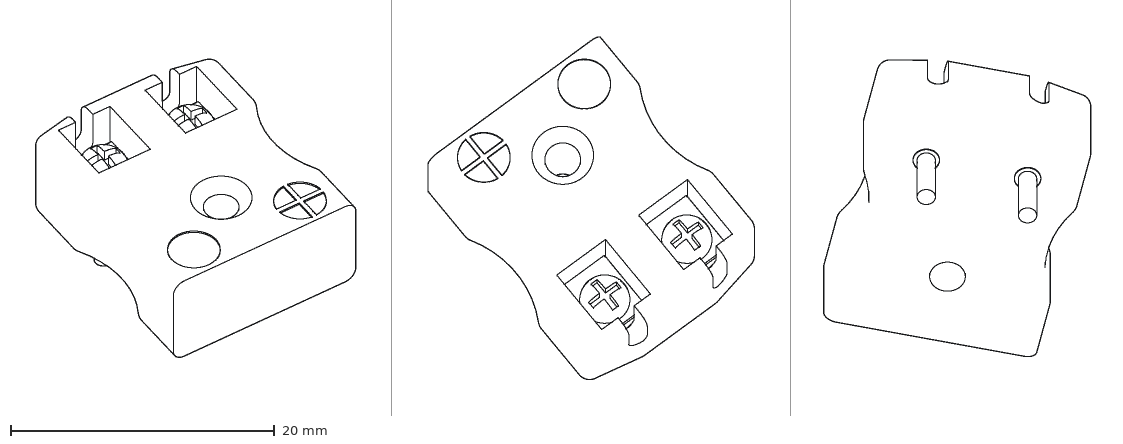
import cadquery as cq

LENGTH = 20.5
WIDTH = 16.6
HEIGHT = 8.0
EDGE_RADIUS = 1.0
FRONT_FLAT_WIDTH = 7.01
FRONT_SLANT_DEPTH = 1.0

GRIP_CENTRE_X = 11.24
GRIP_CHORD = 8.86
GRIP_DEPTH = 1.25

MOUNT_X = 14.52
MOUNT_DIAMETER = 2.7
COUNTERSINK_DIAMETER = 4.68

MARK_X = 18.07
MARK_Y = 4.82
MARK_DIAMETER = 4.0
MARK_DEPTH = 0.15
MARK_CROSS_WIDTH = 0.39

TERMINAL_X = 4.25
TERMINAL_Y = 3.94
POCKET_START_X = 1.62
POCKET_END_X = 7.18
POCKET_WIDTH = 4.68
PLATE_START_X = 1.99
PLATE_SIDE_GAP = 0.1
PLATE_THICKNESS = 0.5
PLATE_TOP_Z = 4.64
PLATE_BOTTOM_Z = PLATE_TOP_Z - PLATE_THICKNESS

SLOT_WIDTH = 1.55
SLOT_AXIS_Z = 5.0

SHANK_DIAMETER = 2.0
HEAD_RADIUS = 1.9
HEAD_BOTTOM_Z = 4.95
HEAD_HEIGHT = 1.3
HEAD_SHOULDER_RADIUS = 1.33
HEAD_SHOULDER_DROP = 0.23
DRIVE_LENGTH = 2.67
DRIVE_WIDTH = 0.57
DRIVE_DEPTH = 0.92

PIN_DIAMETER = 1.4
PIN_END_Z = -4.86
PIN_ROOT_PROUD = 0.08

TERMINAL_SIDES = (-1, 1)
ABOVE = 0.2


def box(x_start, x_end, y_centre, width, z_start, z_end):
    """A box given by its X range, Y centre and width, and Z range."""
    return (
        cq.Workplane("XY", origin=(0, y_centre, z_start))
        .moveTo(x_start, -width / 2)
        .lineTo(x_end, -width / 2)
        .lineTo(x_end, width / 2)
        .lineTo(x_start, width / 2)
        .close()
        .extrude(z_end - z_start)
    )


def rod(x, y, diameter, z_start, z_end):
    """A vertical cylinder."""
    return cq.Workplane("XY", origin=(x, y, z_start)).circle(diameter / 2).extrude(z_end - z_start)


def cross(x, y, length, arm_width, z_start, z_end):
    """An upright prism in the shape of a plus sign."""
    along_x = box(x - length / 2, x + length / 2, y, arm_width, z_start, z_end)
    along_y = box(x - arm_width / 2, x + arm_width / 2, y, length, z_start, z_end)
    return along_x.union(along_y)


def housing_block():
    """The gripped outline, extruded, with its upright and outer edges rounded."""
    half_width = WIDTH / 2
    half_flat = FRONT_FLAT_WIDTH / 2
    grip_start = GRIP_CENTRE_X - GRIP_CHORD / 2
    grip_end = GRIP_CENTRE_X + GRIP_CHORD / 2
    grip_floor = half_width - GRIP_DEPTH
    block = (
        cq.Workplane("XY")
        .moveTo(0, half_flat)
        .lineTo(0, -half_flat)
        .lineTo(FRONT_SLANT_DEPTH, -half_width)
        .lineTo(grip_start, -half_width)
        .threePointArc((GRIP_CENTRE_X, -grip_floor), (grip_end, -half_width))
        .lineTo(LENGTH, -half_width)
        .lineTo(LENGTH, half_width)
        .lineTo(grip_end, half_width)
        .threePointArc((GRIP_CENTRE_X, grip_floor), (grip_start, half_width))
        .lineTo(FRONT_SLANT_DEPTH, half_width)
        .close()
        .extrude(HEIGHT)
    )
    block = block.edges("|Z").edges("not >X").fillet(EDGE_RADIUS)
    return block.faces("<Z or >Z").edges("not >X").fillet(EDGE_RADIUS)


def mounting_hole():
    """The through hole and the cone of its countersink."""
    hole_radius = MOUNT_DIAMETER / 2
    sink_radius = COUNTERSINK_DIAMETER / 2
    sink_depth = sink_radius - hole_radius
    return (
        cq.Workplane("XZ", origin=(MOUNT_X, 0, 0))
        .lineTo(hole_radius, 0)
        .lineTo(hole_radius, HEIGHT - sink_depth)
        .lineTo(sink_radius, HEIGHT)
        .lineTo(0, HEIGHT)
        .close()
        .revolve()
    )


def mark_recess(y):
    """A round recess in the top face."""
    return rod(MARK_X, y, MARK_DIAMETER, HEIGHT - MARK_DEPTH, HEIGHT)


def plus_recess():
    """A round recess split into quadrants by a cross that stays level with the top face."""
    raised_cross = cross(MARK_X, MARK_Y, MARK_DIAMETER, MARK_CROSS_WIDTH, HEIGHT - MARK_DEPTH, HEIGHT)
    return mark_recess(MARK_Y).cut(raised_cross)


def terminal_cavity(y):
    """The pocket, wire slot and pin bore of one terminal."""
    top = HEIGHT + ABOVE
    pocket = box(POCKET_START_X, POCKET_END_X, y, POCKET_WIDTH, PLATE_BOTTOM_Z, top)
    slot = box(0, POCKET_START_X, y, SLOT_WIDTH, SLOT_AXIS_Z, top)
    slot_bottom = (
        cq.Workplane("YZ", origin=(0, y, SLOT_AXIS_Z))
        .circle(SLOT_WIDTH / 2)
        .extrude(POCKET_START_X)
    )
    bore = rod(TERMINAL_X, y, SHANK_DIAMETER, 0, PLATE_BOTTOM_Z)
    return pocket.union(slot).union(slot_bottom).union(bore)


def make_housing():
    """The housing block with its mounting hole, polarity marks and terminal cavities."""
    housing = housing_block().cut(mounting_hole()).cut(mark_recess(-MARK_Y)).cut(plus_recess())
    for side in TERMINAL_SIDES:
        housing = housing.cut(terminal_cavity(side * TERMINAL_Y))
    return housing


def make_plate(y):
    """The contact plate on the pocket floor, bored for the screw shank."""
    plate_width = POCKET_WIDTH - 2 * PLATE_SIDE_GAP
    plate = box(PLATE_START_X, POCKET_END_X, y, plate_width, PLATE_BOTTOM_Z, PLATE_TOP_Z)
    return plate.cut(rod(TERMINAL_X, y, SHANK_DIAMETER, PLATE_BOTTOM_Z, PLATE_TOP_Z))


def make_screw(y):
    """A domed screw with a cross drive, its shank ending level with the plate's underside."""
    head_top = HEAD_BOTTOM_Z + HEAD_HEIGHT
    shoulder = (HEAD_SHOULDER_RADIUS, head_top - HEAD_SHOULDER_DROP)
    head = (
        cq.Workplane("XZ", origin=(TERMINAL_X, y, 0))
        .moveTo(0, HEAD_BOTTOM_Z)
        .lineTo(HEAD_RADIUS, HEAD_BOTTOM_Z)
        .spline([shoulder, (0, head_top)], tangents=[(0, 1), (-1, 0)], includeCurrent=True)
        .close()
        .revolve()
    )
    drive = cross(TERMINAL_X, y, DRIVE_LENGTH, DRIVE_WIDTH, head_top - DRIVE_DEPTH, head_top)
    shank = rod(TERMINAL_X, y, SHANK_DIAMETER, PLATE_BOTTOM_Z, HEAD_BOTTOM_Z)
    return head.union(shank).cut(drive)


def make_pin(y):
    """A solder pin with its wide root up in the bore of the housing."""
    root = rod(TERMINAL_X, y, SHANK_DIAMETER, -PIN_ROOT_PROUD, PLATE_BOTTOM_Z)
    return root.union(rod(TERMINAL_X, y, PIN_DIAMETER, PIN_END_Z, -PIN_ROOT_PROUD))


bodies = [make_housing().val()]
for side in TERMINAL_SIDES:
    terminal_y = side * TERMINAL_Y
    bodies.append(make_plate(terminal_y).val())
    bodies.append(make_screw(terminal_y).val())
    bodies.append(make_pin(terminal_y).val())

result = cq.Compound.makeCompound(bodies)